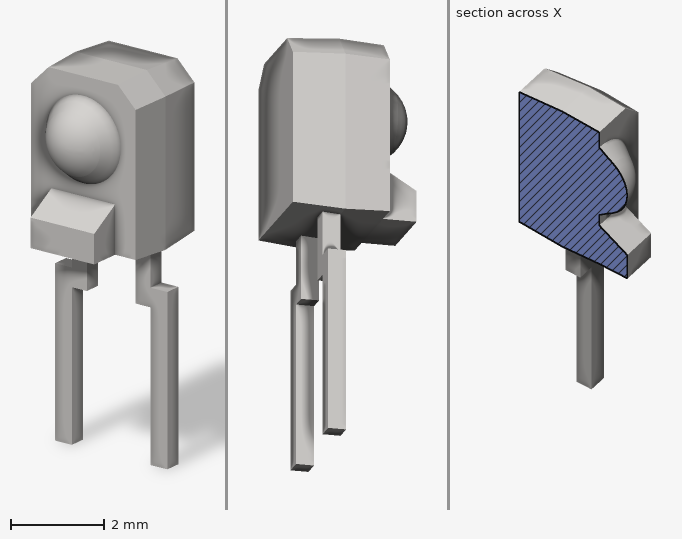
import cadquery as cq
import math

body_width = 2.9
body_height = 4.0
corner_cut = 0.5
front_depth = 1.0
back_depth = 1.15
front_draft = 3.0
back_draft = 4.0

lens_z = 2.5
lens_base_radius = 1.0
lens_cap_radius = 0.73
lens_cone_length = 0.375
lens_length = 0.75

block_width = 1.7
block_length = 0.75
block_root_z = 1.2
block_tip_z = 0.75

lead_span = 3.0
lead_length = 5.0
lead_thickness = 0.4
lead_width = 0.45
neck_width = 0.4
crank_z = -0.95
lead_embed = 0.5

front_y = -front_depth
block_bottom_z = front_depth * math.tan(math.radians(front_draft))


def body_half(depth, draft):
    """Half of the body, drawn from the parting plane; positive depth goes toward -Y."""
    half_width = body_width / 2
    outline = [
        (-half_width, 0),
        (half_width, 0),
        (half_width, body_height - corner_cut),
        (half_width - corner_cut, body_height),
        (-half_width + corner_cut, body_height),
        (-half_width, body_height - corner_cut),
    ]
    return cq.Workplane("XZ").polyline(outline).close().extrude(depth, taper=draft)


def make_lens():
    """Lens revolved about an axis along Y; its base is sunk flush to the parting plane."""
    cap_height = lens_length - lens_cone_length
    cap_sphere_radius = (lens_cap_radius**2 + cap_height**2) / (2 * cap_height)
    tip_y = front_y - lens_length
    sphere_y = tip_y + cap_sphere_radius
    half_angle = math.asin(lens_cap_radius / cap_sphere_radius) / 2
    arc_middle = (
        cap_sphere_radius * math.sin(half_angle),
        sphere_y - cap_sphere_radius * math.cos(half_angle),
    )
    profile = (
        cq.Workplane("XY")
        .moveTo(0, 0)
        .lineTo(lens_base_radius, 0)
        .lineTo(lens_base_radius, front_y)
        .lineTo(lens_cap_radius, front_y - lens_cone_length)
        .threePointArc(arc_middle, (0, tip_y))
        .close()
    )
    return profile.revolve(360, (0, 0), (0, 1)).translate((0, 0, lens_z))


def make_block():
    """Block rooted at the parting plane, its top sloping down toward the tip."""
    tip_y = front_y - block_length
    profile = [
        (0, block_bottom_z),
        (tip_y, block_bottom_z),
        (tip_y, block_tip_z),
        (front_y, block_root_z),
        (0, block_root_z),
    ]
    return cq.Workplane("YZ").polyline(profile).close().extrude(block_width / 2, both=True)


def make_lead():
    """Lead on the +X side, with its top end embedded in the body."""
    outer_x = lead_span / 2
    step_x = outer_x - lead_width
    neck_inner_x = step_x - neck_width
    outline = [
        (neck_inner_x, lead_embed),
        (step_x, lead_embed),
        (step_x, crank_z),
        (outer_x, crank_z),
        (outer_x, -lead_length),
        (step_x, -lead_length),
        (step_x, crank_z - lead_width),
        (neck_inner_x, crank_z - lead_width),
    ]
    return cq.Workplane("XZ").polyline(outline).close().extrude(-lead_thickness)


right_lead = make_lead()
left_lead = right_lead.mirror("YZ")

result = (
    body_half(front_depth, front_draft)
    .union(body_half(-back_depth, back_draft))
    .union(make_lens())
    .union(make_block())
    .union(right_lead)
    .union(left_lead)
)